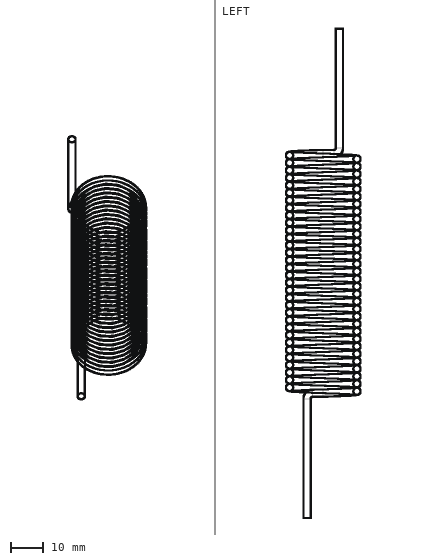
import cadquery as cq
import math

OUTER_DIAMETER = 22.86
WIRE_DIAMETER = 2.28
COIL_PITCH = 2.286
COIL_TURNS = 32
LEG_REACH = 38.1
LEG_OFFSET = 4.95
BEND_RADIUS = 1.715

WIRE_RADIUS = WIRE_DIAMETER / 2
COIL_RADIUS = (OUTER_DIAMETER - WIRE_DIAMETER) / 2
COIL_HEIGHT = COIL_PITCH * COIL_TURNS


def make_coil():
    """Right-handed coil about Z that starts and ends on the -X side."""
    path = cq.Wire.makeHelix(COIL_PITCH, COIL_HEIGHT, COIL_RADIUS)
    section = cq.Workplane("XZ").center(COIL_RADIUS, 0).circle(WIRE_RADIUS)
    coil = section.sweep(cq.Workplane(obj=path), isFrenet=True)
    return coil.rotate((0, 0, 0), (0, 0, 1), 180).translate((0, 0, -COIL_HEIGHT / 2))


def make_upper_leg():
    """Straight tangent run toward -Y, a right-angle bend, and a straight leg up to the tip."""
    end_z = COIL_HEIGHT / 2
    bend_start_y = BEND_RADIUS - LEG_OFFSET
    bend_end_z = end_z + BEND_RADIUS
    bend_mid_y = bend_start_y - BEND_RADIUS * math.sin(math.pi / 4)
    bend_mid_z = bend_end_z - BEND_RADIUS * math.cos(math.pi / 4)
    path = (
        cq.Workplane("YZ", origin=(-COIL_RADIUS, 0, 0))
        .moveTo(0, end_z)
        .lineTo(bend_start_y, end_z)
        .threePointArc((bend_mid_y, bend_mid_z), (-LEG_OFFSET, bend_end_z))
        .lineTo(-LEG_OFFSET, end_z + LEG_REACH)
    )
    return cq.Workplane("XZ", origin=(-COIL_RADIUS, 0, end_z)).circle(WIRE_RADIUS).sweep(path)


upper_leg = make_upper_leg()
lower_leg = upper_leg.rotate((0, 0, 0), (1, 0, 0), 180)
legs = upper_leg.add(lower_leg)

result = make_coil().union(legs, clean=False).solids()